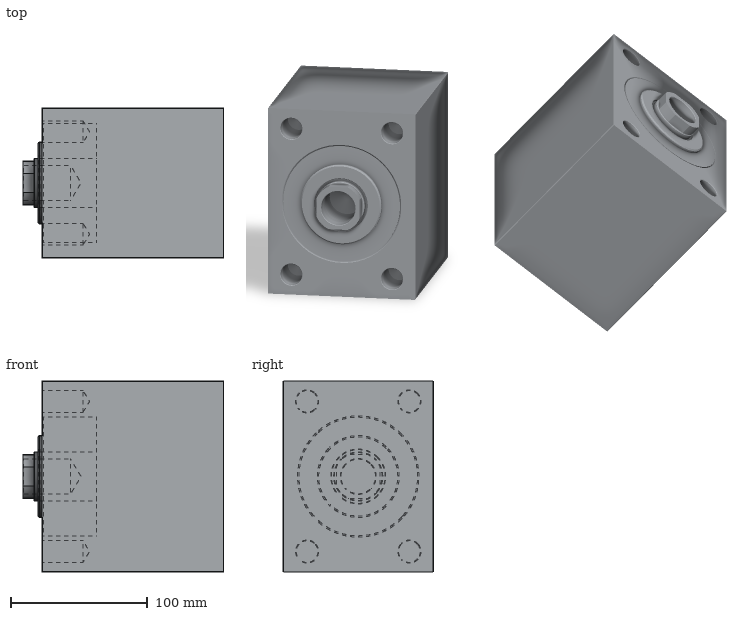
import cadquery as cq
import math


block_length = 133.0
block_width = 110.0
block_height = 140.0
edge_chamfer = 0.5

mount_hole_diameter = 16.0
mount_hole_depth = 30.0
mount_spacing_y = 75.0
mount_spacing_z = 110.0
drill_point_angle = 118.0
hole_mouth_chamfer = 0.4

gland_diameter = 87.0
gland_depth = 40.0
gland_seat_chamfer = 1.0
collar_diameter = 60.0
collar_height = 3.0
collar_chamfer = 1.0
wiper_recess_diameter = 39.4
wiper_recess_depth = 1.5
wiper_mouth_chamfer = 0.4

rod_diameter = 36.0
rod_reach = 14.0
rod_step_chamfer = 0.5
tip_diameter = rod_diameter - 2 * rod_step_chamfer
tip_length = 8.0
tip_across_flats = 32.0
rod_hole_diameter = 25.4
rod_hole_depth = 35.0


def revolve_about_x(profile):
    """Turn a closed outline of (x, radius) points about the X axis."""
    return cq.Workplane("XY").polyline(profile).close().revolve(360, (0, 0, 0), (1, 0, 0))


def cylinder(x_start, x_end, diameter):
    """Solid cylinder on the X axis between two X positions."""
    return cq.Workplane("YZ", origin=(x_start, 0, 0)).circle(diameter / 2).extrude(x_end - x_start)


def drilled_hole(x_start, depth, diameter):
    """Blind hole on the X axis: a chamfered mouth, a straight bore and a conical drill point."""
    radius = diameter / 2
    point_length = radius / math.tan(math.radians(drill_point_angle / 2))
    x_end = x_start + depth
    return revolve_about_x(
        [
            (x_start, 0),
            (x_start, radius + hole_mouth_chamfer),
            (x_start + hole_mouth_chamfer, radius),
            (x_end, radius),
            (x_end + point_length, 0),
        ]
    )


def make_block():
    block = cq.Workplane("XY").box(block_length, block_width, block_height, centered=(False, True, True))
    block = block.edges("|X").chamfer(edge_chamfer)

    block = block.cut(cylinder(0, gland_depth, gland_diameter))
    seat_radius = gland_diameter / 2
    seat_chamfer = revolve_about_x(
        [(0, 0), (0, seat_radius + gland_seat_chamfer), (gland_seat_chamfer, seat_radius), (gland_seat_chamfer, 0)]
    )
    block = block.cut(seat_chamfer)

    mount_hole = drilled_hole(0, mount_hole_depth, mount_hole_diameter)
    for side_y in (-1, 1):
        for side_z in (-1, 1):
            place = (0, side_y * mount_spacing_y / 2, side_z * mount_spacing_z / 2)
            block = block.cut(mount_hole.translate(place))
    return block


def make_gland():
    collar = cylinder(-collar_height, 0, collar_diameter).faces("<X").chamfer(collar_chamfer)
    gland = cylinder(0, gland_depth, gland_diameter).union(collar)
    gland = gland.cut(cylinder(-collar_height, gland_depth, rod_diameter))
    wiper_recess_end = wiper_recess_depth - collar_height
    wiper_recess_radius = wiper_recess_diameter / 2
    wiper_recess = revolve_about_x(
        [
            (-collar_height, 0),
            (-collar_height, wiper_recess_radius + wiper_mouth_chamfer),
            (wiper_mouth_chamfer - collar_height, wiper_recess_radius),
            (wiper_recess_end, wiper_recess_radius),
            (wiper_recess_end, 0),
        ]
    )
    return gland.cut(wiper_recess)


def make_rod():
    step_x = tip_length - rod_reach
    shaft = cylinder(step_x, gland_depth, rod_diameter).faces("<X").chamfer(rod_step_chamfer)

    tip = cylinder(-rod_reach, step_x, tip_diameter)
    flats = cq.Workplane("XY").box(rod_reach, tip_across_flats, tip_across_flats)
    tip = tip.intersect(flats.translate((-rod_reach / 2, 0, 0)))

    return shaft.union(tip).cut(drilled_hole(-rod_reach, rod_hole_depth, rod_hole_diameter))


block = make_block()
gland = make_gland()
rod = make_rod()

result = cq.Compound.makeCompound([block.val(), gland.val(), rod.val()])